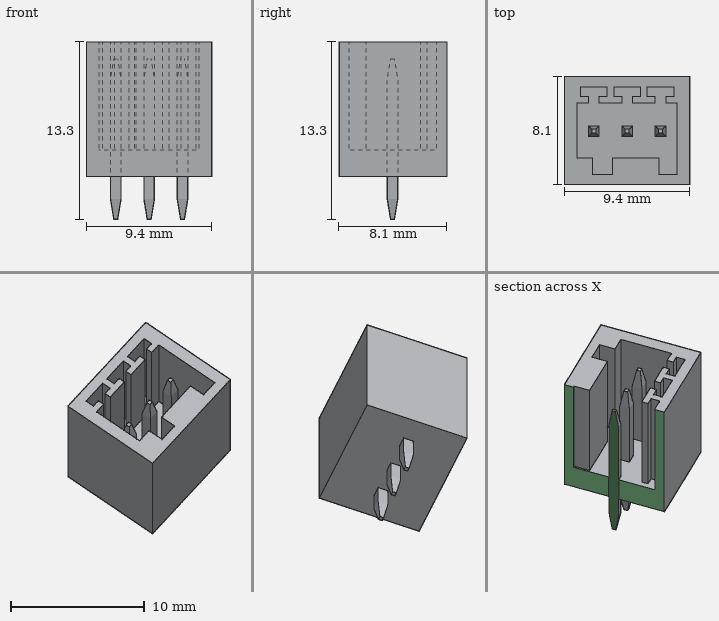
import cadquery as cq

PIN_COUNT = 3
PIN_PITCH = 2.5
PIN_WIDTH = 0.8
PIN_TIP_WIDTH = 0.3
PIN_TAPER = 1.5
PIN_BELOW = 3.2
PIN_TOP_GAP = 1.3

HOUSING_LENGTH = 9.4
HOUSING_BACK = 4.1
HOUSING_FRONT = -4.0
HOUSING_HEIGHT = 10.1
FLOOR = 2.0

CAVITY_LENGTH = 7.5
CAVITY_BACK = 2.1
CAVITY_FRONT = -2.0

SLOT_NECK_WIDTH = PIN_WIDTH
SLOT_HEAD_WIDTH = 2.0
SLOT_HEAD_FRONT = 2.6
SLOT_HEAD_BACK = 3.3

KEYWAY_FRONT = -3.25
LEFT_KEYWAY = (-2.6, -1.1)
RIGHT_KEYWAY = (2.4, CAVITY_LENGTH / 2)

MIDDLE = PIN_COUNT // 2
pin_places = [(i - MIDDLE) * PIN_PITCH for i in range(PIN_COUNT)]


def box(x_range, y_range, z_range):
    """Block between two limits on each axis."""
    x0, x1 = x_range
    y0, y1 = y_range
    z0, z1 = z_range
    block = cq.Workplane("XY").box(x1 - x0, y1 - y0, z1 - z0, centered=False)
    return block.translate((x0, y0, z0))


def centred(middle, width):
    """Two limits a width apart, the same distance either side of the middle."""
    return (middle - width / 2, middle + width / 2)


def make_pin(x):
    """Square pin with a pyramid-shaped taper at each end."""
    bottom = -PIN_BELOW
    top = HOUSING_HEIGHT - PIN_TOP_GAP
    shank_bottom = bottom + PIN_TAPER
    shank_top = top - PIN_TAPER
    side = centred(0, PIN_WIDTH)
    pin = box(side, side, (shank_bottom, shank_top))
    for shank_end, tip in ((shank_bottom, bottom), (shank_top, top)):
        taper = (
            cq.Workplane("XY", origin=(0, 0, shank_end))
            .rect(PIN_WIDTH, PIN_WIDTH)
            .workplane(offset=tip - shank_end)
            .rect(PIN_TIP_WIDTH, PIN_TIP_WIDTH)
            .loft(ruled=True)
        )
        pin = pin.union(taper)
    return pin.translate((x, 0, 0))


def make_cavity():
    """Space inside the housing: main cavity, T-slots and keyways, all down to the floor."""
    depth = (FLOOR, HOUSING_HEIGHT)
    cavity = box(centred(0, CAVITY_LENGTH), (CAVITY_FRONT, CAVITY_BACK), depth)
    for x in pin_places:
        cavity = cavity.union(box(centred(x, SLOT_NECK_WIDTH), (CAVITY_BACK, SLOT_HEAD_FRONT), depth))
        cavity = cavity.union(box(centred(x, SLOT_HEAD_WIDTH), (SLOT_HEAD_FRONT, SLOT_HEAD_BACK), depth))
    for keyway in (LEFT_KEYWAY, RIGHT_KEYWAY):
        cavity = cavity.union(box(keyway, (KEYWAY_FRONT, CAVITY_FRONT), depth))
    return cavity


middle_pin = make_pin(pin_places[MIDDLE])
housing = box(centred(0, HOUSING_LENGTH), (HOUSING_FRONT, HOUSING_BACK), (0, HOUSING_HEIGHT))
housing = housing.cut(make_cavity()).union(middle_pin)

outer_pins = [make_pin(x) for i, x in enumerate(pin_places) if i != MIDDLE]
for pin in outer_pins:
    housing = housing.cut(pin)

result = cq.Compound.makeCompound([housing.val(), *[pin.val() for pin in outer_pins]])